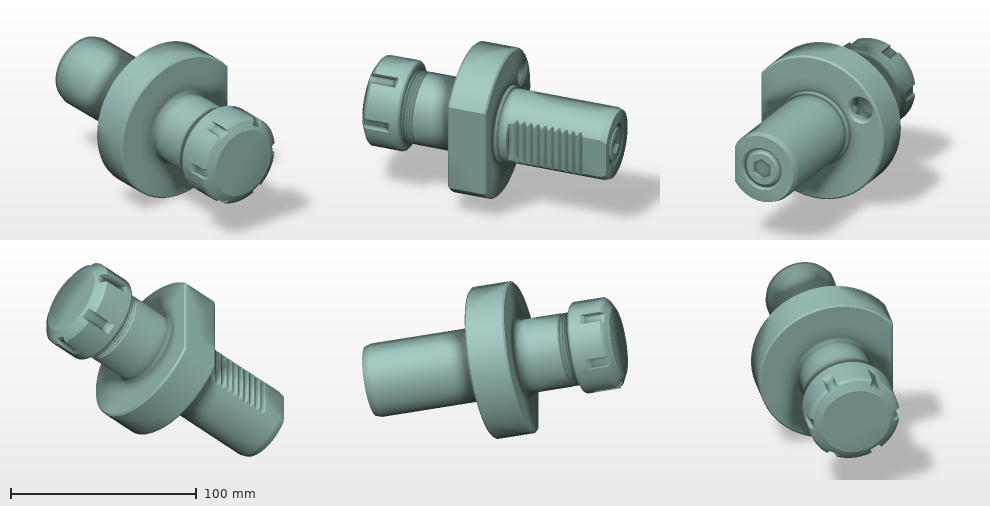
import cadquery as cq
import math

OVERALL_LENGTH = 138.0

SHANK_RADIUS = 20.0
SHANK_END_RADIUS = 19.0
SHANK_TAPER_LENGTH = 3.3
NECK_START = 59.3
NECK_RADIUS = 19.7

RACK_FLAT_Y = 16.3
RACK_END = 55.8
TOOTH_COUNT = 10
TOOTH_PITCH = 4.0
FIRST_VALLEY_X = 15.0
VALLEY_DEPTH = 1.7
VALLEY_FLOOR_WIDTH = 0.4

FLANGE_START = 62.9
FLANGE_END = 84.9
FLANGE_DIAMETER = 83.0
FLANGE_RADIUS = FLANGE_DIAMETER / 2
FLANGE_WIDTH = 74.0
FLANGE_FLAT_Y = FLANGE_WIDTH - FLANGE_RADIUS
FLANGE_CHAMFER = 1.0

NOSE_FILLET = 2.1
THREAD_START = 109.0
THREAD_PITCH = 1.5
THREAD_DEPTH = 1.2
THREAD_TURNS = 4
NOSE_END = 131.1

SEAL_SECTION_RADIUS = 1.2
SEAL_CENTRE_X = 62.1
SEAL_OUTER_RADIUS = 21.4
SEAL_GROOVE_RADIUS = 22.0

INLET_Y = -27.6
INLET_Z = 15.7
INLET_RADIUS = 6.6
INLET_CHAMFER = 1.2
INLET_DEPTH = 11.7
DRILL_POINT_ANGLE = 118.0
INLET_AXIS_DISTANCE = math.hypot(INLET_Y, INLET_Z)

BALL_RADIUS = 3.6
BALL_X = FLANGE_START + 7.7
BALL_DISTANCE = INLET_AXIS_DISTANCE - INLET_RADIUS - BALL_RADIUS
BALL_Y = INLET_Y * BALL_DISTANCE / INLET_AXIS_DISTANCE
BALL_Z = INLET_Z * BALL_DISTANCE / INLET_AXIS_DISTANCE

PLUG_RADIUS = 11.0
PLUG_LENGTH = 16.5
PLUG_CHAMFER = 2.2
PLUG_BORE_CHAMFER = 1.1
HEX_ACROSS_FLATS = 10.2
HEX_DEPTH = 2.5

NUT_START = 115.5
NUT_RADIUS = 25.0
NUT_REAR_FILLET = 2.0
NUT_CONE_START = 135.4
NUT_CONE_RADIUS = 23.7
NUT_SHOULDER_X = 134.0
NUT_FACE_RADIUS = 19.0
SLOT_COUNT = 6
SLOT_WIDTH = 6.1
SLOT_START = 123.0
SLOT_DEPTH = 2.6
SLOT_RUNOUT = 3.0
DEEP_SLOT_START = 120.3
DEEP_SLOT_DEPTH = 4.0


def revolve_about_x(profile):
    return profile.close().revolve(360, (0, 0, 0), (1, 0, 0))


def x_cylinder(radius, start, length):
    return cq.Workplane("YZ", origin=(start, 0, 0)).circle(radius).extrude(length)


def make_shank():
    return revolve_about_x(
        cq.Workplane("XY")
        .lineTo(0, SHANK_END_RADIUS)
        .lineTo(SHANK_TAPER_LENGTH, SHANK_RADIUS)
        .lineTo(NECK_START, SHANK_RADIUS)
        .lineTo(NECK_START, NECK_RADIUS)
        .lineTo(FLANGE_START, NECK_RADIUS)
        .lineTo(FLANGE_START, 0)
    )


def cut_rack(shank):
    block = (
        cq.Workplane("XY")
        .box(RACK_END, SHANK_RADIUS, 2 * SHANK_RADIUS, centered=(False, False, True))
        .translate((0, RACK_FLAT_Y, 0))
    )
    shank = shank.cut(block)
    half_floor = VALLEY_FLOOR_WIDTH / 2
    half_mouth = half_floor + VALLEY_DEPTH
    for index in range(TOOTH_COUNT):
        x = FIRST_VALLEY_X + index * TOOTH_PITCH
        valley = (
            cq.Workplane("XY")
            .moveTo(x - half_mouth, RACK_FLAT_Y)
            .lineTo(x - half_floor, RACK_FLAT_Y - VALLEY_DEPTH)
            .lineTo(x + half_floor, RACK_FLAT_Y - VALLEY_DEPTH)
            .lineTo(x + half_mouth, RACK_FLAT_Y)
            .close()
            .extrude(SHANK_RADIUS, both=True)
        )
        shank = shank.cut(valley)
    return shank


def make_flange():
    flange = x_cylinder(FLANGE_RADIUS, FLANGE_START, FLANGE_END - FLANGE_START)
    beyond_flat = (
        cq.Workplane("XY")
        .box(OVERALL_LENGTH, FLANGE_RADIUS, 2 * FLANGE_RADIUS, centered=(False, False, True))
        .translate((0, FLANGE_FLAT_Y, 0))
    )
    return flange.cut(beyond_flat).faces("<X or >X").chamfer(FLANGE_CHAMFER)


def make_nose():
    return revolve_about_x(
        cq.Workplane("XY")
        .moveTo(FLANGE_END, 0)
        .lineTo(FLANGE_END, SHANK_RADIUS + NOSE_FILLET)
        .radiusArc((FLANGE_END + NOSE_FILLET, SHANK_RADIUS), -NOSE_FILLET)
        .lineTo(NOSE_END, SHANK_RADIUS)
        .lineTo(NOSE_END, 0)
    )


def cut_thread(body):
    for turn in range(THREAD_TURNS):
        x = THREAD_START + turn * THREAD_PITCH
        groove = revolve_about_x(
            cq.Workplane("XY")
            .moveTo(x, SHANK_RADIUS)
            .lineTo(x + THREAD_PITCH / 2, SHANK_RADIUS - THREAD_DEPTH)
            .lineTo(x + THREAD_PITCH, SHANK_RADIUS)
        )
        body = body.cut(groove)
    return body


def cut_seal_groove(body):
    groove_floor = SEAL_OUTER_RADIUS - 2 * SEAL_SECTION_RADIUS
    groove = (
        cq.Workplane("YZ", origin=(SEAL_CENTRE_X - SEAL_SECTION_RADIUS, 0, 0))
        .circle(SEAL_GROOVE_RADIUS)
        .circle(groove_floor)
        .extrude(2 * SEAL_SECTION_RADIUS)
    )
    return body.cut(groove)


def make_ball():
    return cq.Workplane("XY", origin=(BALL_X, BALL_Y, BALL_Z)).sphere(BALL_RADIUS)


def cut_coolant_inlet(body):
    mouth_radius = INLET_RADIUS + INLET_CHAMFER
    point_length = INLET_RADIUS / math.tan(math.radians(DRILL_POINT_ANGLE / 2))
    inlet = (
        cq.Workplane("XY")
        .lineTo(0, mouth_radius)
        .lineTo(INLET_CHAMFER, INLET_RADIUS)
        .lineTo(INLET_DEPTH, INLET_RADIUS)
        .lineTo(INLET_DEPTH + point_length, 0)
    )
    inlet = revolve_about_x(inlet).translate((FLANGE_START, INLET_Y, INLET_Z))
    ball_centre = cq.Vector(BALL_X, BALL_Y, BALL_Z)
    outwards = cq.Vector(0, INLET_Y, INLET_Z)
    channel = cq.Solid.makeCylinder(BALL_RADIUS, INLET_RADIUS + BALL_RADIUS, ball_centre, outwards)
    return body.cut(inlet).cut(cq.Workplane(channel)).cut(make_ball())


def cut_plug_bore(body):
    bore = revolve_about_x(
        cq.Workplane("XY")
        .lineTo(0, PLUG_RADIUS + PLUG_BORE_CHAMFER)
        .lineTo(PLUG_BORE_CHAMFER, PLUG_RADIUS)
        .lineTo(PLUG_LENGTH, PLUG_RADIUS)
        .lineTo(PLUG_LENGTH, 0)
    )
    return body.cut(bore)


def make_housing():
    housing = cut_rack(make_shank()).union(make_flange()).union(make_nose())
    housing = cut_thread(housing)
    housing = cut_seal_groove(housing)
    housing = cut_coolant_inlet(housing)
    return cut_plug_bore(housing)


def make_seal():
    centre_radius = SEAL_OUTER_RADIUS - SEAL_SECTION_RADIUS
    return cq.Workplane(
        cq.Solid.makeTorus(
            centre_radius, SEAL_SECTION_RADIUS, cq.Vector(SEAL_CENTRE_X, 0, 0), cq.Vector(1, 0, 0)
        )
    )


def make_plug():
    plug = x_cylinder(PLUG_RADIUS, 0, PLUG_LENGTH).faces("<X").chamfer(PLUG_CHAMFER)
    across_corners = HEX_ACROSS_FLATS / math.cos(math.radians(30))
    socket = (
        cq.Workplane("YZ")
        .transformed(rotate=(0, 0, 90))
        .polygon(6, across_corners)
        .extrude(HEX_DEPTH)
    )
    return plug.cut(socket)


def make_slot_cutter(start, depth):
    floor_y = -(NUT_RADIUS - depth)
    return (
        cq.Workplane("XY")
        .moveTo(start - SLOT_RUNOUT, -NUT_RADIUS - depth)
        .lineTo(start + SLOT_RUNOUT, floor_y)
        .lineTo(OVERALL_LENGTH, floor_y)
        .lineTo(OVERALL_LENGTH, -NUT_RADIUS - depth)
        .close()
        .extrude(SLOT_WIDTH / 2, both=True)
    )


def make_nut():
    nut = revolve_about_x(
        cq.Workplane("XY")
        .moveTo(NUT_START, SHANK_RADIUS)
        .lineTo(NUT_START, NUT_RADIUS - NUT_REAR_FILLET)
        .radiusArc((NUT_START + NUT_REAR_FILLET, NUT_RADIUS), NUT_REAR_FILLET)
        .lineTo(NUT_SHOULDER_X, NUT_RADIUS)
        .lineTo(NUT_CONE_START, NUT_CONE_RADIUS)
        .lineTo(OVERALL_LENGTH, NUT_FACE_RADIUS)
        .lineTo(OVERALL_LENGTH, 0)
        .lineTo(NOSE_END, 0)
        .lineTo(NOSE_END, SHANK_RADIUS)
    )
    for index in range(SLOT_COUNT):
        angle = index * 360 / SLOT_COUNT
        if math.cos(math.radians(angle)) < 0:
            cutter = make_slot_cutter(DEEP_SLOT_START, DEEP_SLOT_DEPTH)
        else:
            cutter = make_slot_cutter(SLOT_START, SLOT_DEPTH)
        nut = nut.cut(cutter.rotate((0, 0, 0), (1, 0, 0), angle))
    return nut


housing = make_housing()
seal = make_seal()
plug = make_plug()
ball = make_ball()
nut = make_nut()

result = cq.Compound.makeCompound(
    [housing.val(), seal.val(), plug.val(), ball.val(), nut.val()]
)